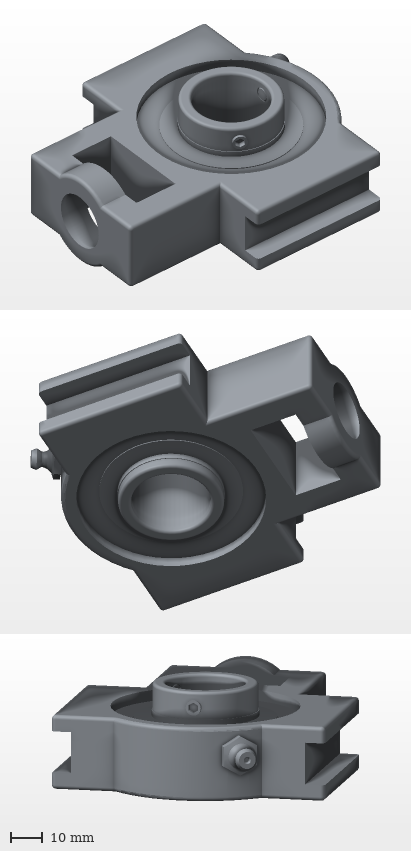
import cadquery as cq
import math


housing_width = 89.0
housing_thickness = 24.0
wing_length = 50.8
stem_width = 51.0
stem_end_y = -62.0
hub_radius = 35.0
edge_round = 1.3
guide_slot_depth = 6.4
guide_slot_height = 13.6
window_width = 32.3
window_top_y = -36.1
lug_length = 10.0
lug_diameter = 32.0
screw_hole_diameter = 19.0
recess_diameter = 60.3

bearing_sphere_diameter = 52.0
outer_ring_width = 16.9
seal_diameter = 45.7
seal_thickness = 1.5
seal_rim_height = 0.3
seal_rise = 0.2
shoulder_diameter = 34.2
shoulder_half_width = 10.9
inner_ring_diameter = 33.7
bore_diameter = 25.4
inner_ring_top_z = 19.8
inner_ring_bottom_z = -14.3
inner_ring_round = 1.0

set_screw_diameter = 4.9
set_screw_z = 14.8
set_screw_inner_reach = 12.7
set_screw_outer_reach = 17.8
set_screw_angles = (90, -30)
set_screw_chamfer = 0.4
socket_flats = 3.0
socket_depth = 2.0

nipple_angle = 120
nipple_z = 3.0
nipple_thread_diameter = 6.0
nipple_thread_reach = 30.6
nipple_hex_reach = 35.1
nipple_hex_top_reach = 38.0
nipple_hex_flats = 11.0
nipple_hex_bevel_angle = 20
flare_base_radius = 4.2
flare_top_radius = 2.9
flare_top_reach = 39.5
neck_radius = 2.4
neck_start_reach = 40.7
neck_end_reach = 41.2
head_radius = 3.5
head_widest_reach = 42.9
nipple_tip_radius = 2.8
nipple_tip_reach = 44.6
grease_hole_diameter = 1.5
grease_hole_depth = 1.0
grease_hole_chamfer = 0.4

half_width = housing_width / 2
half_thickness = housing_thickness / 2
half_wing = wing_length / 2
half_stem = stem_width / 2
outer_ring_half_width = outer_ring_width / 2


def outward_direction(angle):
    """Horizontal unit vector at an angle in degrees from +X."""
    a = math.radians(angle)
    return cq.Vector(math.cos(a), math.sin(a), 0)


def radial_workplane(angle, z, reach):
    """Workplane facing outward at the given angle and reach from the bearing axis, with Z as its local y."""
    outward = outward_direction(angle)
    sideways = outward_direction(angle + 90)
    origin = outward * reach + cq.Vector(0, 0, z)
    return cq.Workplane(cq.Plane(origin=origin, xDir=sideways, normal=outward))


def radial_cylinder(angle, z, diameter, start_reach, end_reach):
    """Cylinder pointing outward from the bearing axis."""
    return radial_workplane(angle, z, start_reach).circle(diameter / 2).extrude(end_reach - start_reach)


def radial_hexagon(angle, z, across_flats, start_reach, end_reach):
    """Hexagonal prism pointing outward from the bearing axis."""
    outline = radial_workplane(angle, z, start_reach).polyline(hexagon_points(across_flats)).close()
    return outline.extrude(end_reach - start_reach)


def hexagon_points(across_flats):
    """Corners of a regular hexagon, the first one on the local +y axis."""
    corner_radius = across_flats / math.sqrt(3)
    angles = [math.radians(90 + 60 * i) for i in range(6)]
    return [(corner_radius * math.cos(a), corner_radius * math.sin(a)) for a in angles]


def disc(diameter, bottom_z, top_z):
    """Cylinder on the bearing axis."""
    return cq.Workplane("XY").workplane(offset=bottom_z).circle(diameter / 2).extrude(top_z - bottom_z)


def bearing_sphere():
    """Ball that shapes the outer ring and its seat, letting the bearing align itself."""
    return cq.Workplane("XY").sphere(bearing_sphere_diameter / 2)


def nipple_thread():
    """Threaded end of the grease nipple, which also shapes its hole in the housing."""
    return radial_cylinder(
        nipple_angle, nipple_z, nipple_thread_diameter, nipple_thread_reach, nipple_hex_reach
    )


def make_plate():
    """T-shaped plate with a round hub at its +Y side, rounded on all outer edges."""
    hub_end_x = math.sqrt(hub_radius**2 - half_wing**2)
    plate = (
        cq.Workplane("XY")
        .workplane(offset=-half_thickness)
        .moveTo(-half_stem, stem_end_y)
        .lineTo(half_stem, stem_end_y)
        .lineTo(half_stem, -half_wing)
        .lineTo(half_width, -half_wing)
        .lineTo(half_width, half_wing)
        .lineTo(hub_end_x, half_wing)
        .threePointArc((0, hub_radius), (-hub_end_x, half_wing))
        .lineTo(-half_width, half_wing)
        .lineTo(-half_width, -half_wing)
        .lineTo(-half_stem, -half_wing)
        .close()
        .extrude(housing_thickness)
    )
    plate = plate.edges("|Z and (<X or >X or <Y)").fillet(edge_round)
    return plate.faces("<Z or >Z").edges().fillet(edge_round)


def make_lug():
    """Round boss at the stem end, around the adjusting screw hole."""
    return (
        cq.Workplane("XZ", origin=(0, stem_end_y, 0))
        .circle(lug_diameter / 2)
        .extrude(-lug_length)
        .faces("<Y")
        .edges()
        .fillet(edge_round)
    )


def make_housing():
    housing = make_plate().union(make_lug())

    for side in (-1, 1):
        slot = cq.Workplane("XY").box(2 * guide_slot_depth, 2 * wing_length, guide_slot_height)
        housing = housing.cut(slot.translate((side * half_width, 0, 0)))

    lug_inner_y = stem_end_y + lug_length
    window_length = window_top_y - lug_inner_y
    window_centre_y = (window_top_y + lug_inner_y) / 2
    window = cq.Workplane("XY").box(window_width, window_length, 2 * lug_diameter)
    screw_hole = (
        cq.Workplane("XZ", origin=(0, stem_end_y, 0))
        .circle(screw_hole_diameter / 2)
        .extrude(-lug_length)
    )
    housing = housing.cut(window.translate((0, window_centre_y, 0))).cut(screw_hole)

    housing = housing.cut(bearing_sphere())
    recess = disc(recess_diameter, outer_ring_half_width, half_thickness)
    housing = housing.cut(recess).cut(recess.mirror("XY"))

    return housing.cut(nipple_thread())


def make_outer_ring():
    blank = disc(bearing_sphere_diameter, -outer_ring_half_width, outer_ring_half_width)
    bore = disc(seal_diameter, -outer_ring_half_width, outer_ring_half_width)
    return blank.intersect(bearing_sphere()).cut(bore)


def make_seal(side):
    """Dished disc between the rings; side is 1 for the top seal and -1 for the bottom one."""
    outer_radius = seal_diameter / 2
    inner_radius = shoulder_diameter / 2
    face_z = outer_ring_half_width + seal_rim_height
    return (
        cq.Workplane("XZ")
        .moveTo(outer_radius, side * (face_z - seal_thickness))
        .lineTo(outer_radius, side * face_z)
        .lineTo(inner_radius, side * (face_z + seal_rise))
        .lineTo(inner_radius, side * (face_z + seal_rise - seal_thickness))
        .close()
        .revolve(360, (0, 0, 0), (0, 1, 0))
    )


def make_inner_ring():
    """Sleeve with rounded ends, a slightly raised middle part and holes for the set screws."""
    sleeve = disc(inner_ring_diameter, inner_ring_bottom_z, inner_ring_top_z)
    bore = disc(bore_diameter, inner_ring_bottom_z, inner_ring_top_z)
    ring = sleeve.cut(bore).faces("<Z or >Z").edges().fillet(inner_ring_round)
    shoulder = disc(shoulder_diameter, -shoulder_half_width, shoulder_half_width)
    ring = ring.union(shoulder.cut(bore))
    for angle in set_screw_angles:
        ring = ring.cut(radial_cylinder(angle, set_screw_z, set_screw_diameter, 0, set_screw_outer_reach))
    return ring


def make_set_screw(angle):
    """Headless screw with a chamfered inner end and a hexagon socket in its outer end."""
    shank = radial_cylinder(
        angle, set_screw_z, set_screw_diameter, set_screw_inner_reach, set_screw_outer_reach
    )
    nearest_to_bearing_centre = cq.selectors.NearestToPointSelector((0, 0, 0))
    shank = shank.faces(nearest_to_bearing_centre).edges().chamfer(set_screw_chamfer)
    socket_floor_reach = set_screw_outer_reach - socket_depth
    return shank.cut(
        radial_hexagon(angle, set_screw_z, socket_flats, socket_floor_reach, set_screw_outer_reach)
    )


def revolve_on_nipple_axis(outline):
    """Revolve a closed chain of (radius, reach) points about the grease nipple's axis."""
    upward = cq.Vector(0, 0, 1)
    plane = cq.Plane(
        origin=(0, 0, nipple_z), xDir=upward, normal=upward.cross(outward_direction(nipple_angle))
    )
    return cq.Workplane(plane).polyline(outline).close().revolve(360, (0, 0, 0), (0, 1, 0))


def make_grease_nipple():
    hexagon = radial_hexagon(
        nipple_angle, nipple_z, nipple_hex_flats, nipple_hex_reach, nipple_hex_top_reach
    )
    bevel_envelope = (
        radial_workplane(nipple_angle, nipple_z, nipple_hex_top_reach)
        .circle(flare_base_radius)
        .extrude(nipple_hex_reach - nipple_hex_top_reach, taper=nipple_hex_bevel_angle - 90)
    )
    hexagon = hexagon.intersect(bevel_envelope)

    grease_hole_radius = grease_hole_diameter / 2
    fitting = revolve_on_nipple_axis([
        (0, nipple_hex_top_reach),
        (flare_base_radius, nipple_hex_top_reach),
        (flare_top_radius, flare_top_reach),
        (neck_radius, neck_start_reach),
        (neck_radius, neck_end_reach),
        (head_radius, head_widest_reach),
        (nipple_tip_radius, nipple_tip_reach),
        (grease_hole_radius + grease_hole_chamfer, nipple_tip_reach),
        (grease_hole_radius, nipple_tip_reach - grease_hole_chamfer),
        (grease_hole_radius, nipple_tip_reach - grease_hole_depth),
        (0, nipple_tip_reach - grease_hole_depth),
    ])
    return nipple_thread().union(hexagon).union(fitting)


housing = make_housing()
outer_ring = make_outer_ring()
inner_ring = make_inner_ring()
seals = [make_seal(side) for side in (1, -1)]
set_screws = [make_set_screw(angle) for angle in set_screw_angles]
grease_nipple = make_grease_nipple()

result = cq.Compound.makeCompound([
    housing.val(),
    outer_ring.val(),
    inner_ring.val(),
    *[seal.val() for seal in seals],
    *[screw.val() for screw in set_screws],
    grease_nipple.val(),
])